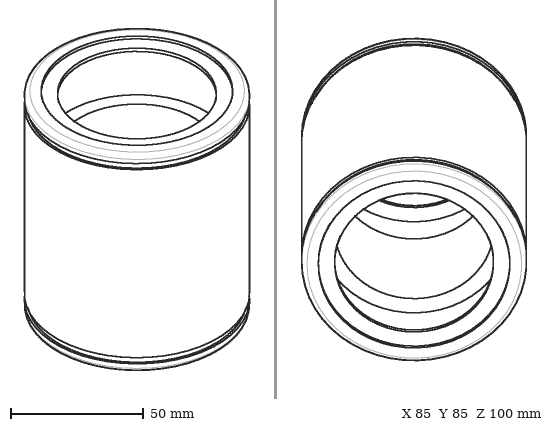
import cadquery as cq

length = 100.0
outer_diameter = 85.0
bore_diameter = 60.0
rim_fillet = 2.0

groove_diameter = 83.0
groove_width = 2.8
groove_offset = 4.0

counterbore_diameter = 72.3
recess_depth = 1.3
lip_thickness = 1.5
shoulder_depth = 27.0


def cylinder(diameter, bottom, height):
    """Cylinder on the Z axis, starting at the given height."""
    return cq.Workplane("XY").workplane(offset=bottom).circle(diameter / 2).extrude(height)


def cut_both_ends(body, cutter):
    """Cut the same feature at the bottom end and mirrored at the top end."""
    mirrored = cutter.mirror("XY", (0, 0, length / 2))
    return body.cut(cutter).cut(mirrored)


body = cylinder(outer_diameter, 0, length).faces("<Z or >Z").edges().fillet(rim_fillet)
body = body.cut(cylinder(bore_diameter, 0, length))

groove = cylinder(outer_diameter, groove_offset, groove_width).cut(
    cylinder(groove_diameter, groove_offset, groove_width)
)
body = cut_both_ends(body, groove)

body = cut_both_ends(body, cylinder(counterbore_diameter, 0, recess_depth))

chamber_start = recess_depth + lip_thickness
chamber = cylinder(counterbore_diameter, chamber_start, shoulder_depth - chamber_start)
body = cut_both_ends(body, chamber)

result = body